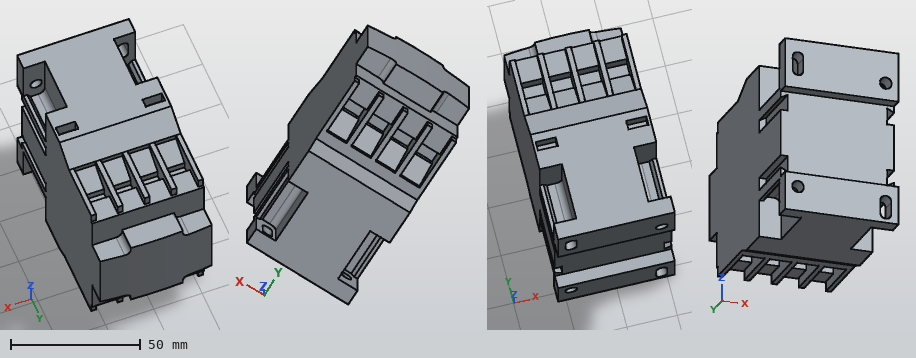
import cadquery as cq


width = 46.3
length = 87.5
top_z = 37.3
bottom_z = -33.8
half_width = width / 2

rail_gap_depth = 5.1
rail_gap_top_z = 17.2
rail_gap_bottom_z = -18.2
bevel_start_y = 44.1
upper_bevel_end_y = 54.0
lower_bevel_end_y = 49.3
terminal_half_height = 31.9
terminal_end_y = 77.1
front_y = 78.0
front_half_height = 27.9

cover_half_height = 17.2
cover_side_half_height = 13.5
cover_crown = 1.2
cover_neck_half_width = 10.8
cover_fillet = 2.5

flange_thickness = 6.65
recess_end_y = 29.6
recess_wall_x = 14.3
recess_fillet = 2.9
recess_floor_z = 16.9
lip_z = 18.8
lip_width = 1.6
lip_slope_width = 1.3

groove_depth = 2.9
groove_inner_z = 9.45
groove_outer_z = 14.5
groove_undercut_z = 16.1

hole_x = 17.9
round_hole_diameter = 4.7
round_hole_upper_z = 24.2
round_hole_lower_z = -23.8
slot_hole_width = 4.5
slot_hole_length = 9.5
slot_hole_z = 27.4

pocket_width = 8.0
pocket_length = 3.6
pocket_x = 17.9
pocket_y = 38.9
pocket_depth = 5.25

channel_count = 4
channel_pitch = 11.1
channel_width = 8.9
ramp_end_y = 62.9
well_end_y = 68.5
ramp_start_z = 29.7
ramp_end_z = 25.2
well_floor_z = 22.2


def extrude_along_y(outline, start_y, end_y):
    """Extrude a closed XZ outline, drawn on a plane facing -Y, from start_y to end_y."""
    return outline.extrude(start_y - end_y).translate((0, start_y, 0))


def four_corners(tool):
    """Tool at +X +Z together with its mirror images in X and Z."""
    pair = tool.union(tool.mirror("YZ"))
    return pair.union(pair.mirror("XY"))


def make_body():
    outline = [
        (0, top_z),
        (bevel_start_y, top_z),
        (upper_bevel_end_y, terminal_half_height),
        (terminal_end_y, terminal_half_height),
        (terminal_end_y, front_half_height),
        (front_y, front_half_height),
        (front_y, -front_half_height),
        (terminal_end_y, -front_half_height),
        (terminal_end_y, -terminal_half_height),
        (lower_bevel_end_y, -terminal_half_height),
        (bevel_start_y, bottom_z),
        (0, bottom_z),
        (0, rail_gap_bottom_z),
        (rail_gap_depth, rail_gap_bottom_z),
        (rail_gap_depth, rail_gap_top_z),
        (0, rail_gap_top_z),
    ]
    return cq.Workplane("YZ").polyline(outline).close().extrude(half_width, both=True)


def make_cover():
    """Front cover with a crowned face and filleted notches in its four corners."""
    side_y = length - cover_crown
    cover = (
        cq.Workplane("XY")
        .moveTo(-half_width, terminal_end_y)
        .lineTo(-half_width, side_y)
        .threePointArc((0, length), (half_width, side_y))
        .lineTo(half_width, terminal_end_y)
        .close()
        .extrude(cover_half_height, both=True)
    )
    notch = extrude_along_y(
        cq.Workplane("XZ")
        .moveTo(half_width, cover_side_half_height)
        .lineTo(cover_neck_half_width + cover_fillet, cover_side_half_height)
        .radiusArc((cover_neck_half_width, cover_side_half_height + cover_fillet), cover_fillet)
        .lineTo(cover_neck_half_width, cover_half_height)
        .lineTo(half_width, cover_half_height)
        .close(),
        front_y,
        length,
    )
    return cover.cut(four_corners(notch))


def make_corner_recess():
    """Recess with a filleted floor and a raised lip along its outer side."""
    lip_x = half_width - lip_width
    outline = (
        cq.Workplane("XZ")
        .moveTo(half_width, lip_z)
        .lineTo(lip_x, lip_z)
        .lineTo(lip_x - lip_slope_width, recess_floor_z)
        .lineTo(recess_wall_x + recess_fillet, recess_floor_z)
        .radiusArc((recess_wall_x, recess_floor_z + recess_fillet), recess_fillet)
        .lineTo(recess_wall_x, top_z)
        .lineTo(half_width, top_z)
        .close()
    )
    return extrude_along_y(outline, flange_thickness, recess_end_y)


def make_side_groove():
    """Groove whose side facing away from the middle is undercut."""
    groove_x = half_width - groove_depth
    outline = [
        (half_width, groove_inner_z),
        (groove_x, groove_inner_z),
        (groove_x, groove_undercut_z),
        (half_width, groove_outer_z),
    ]
    return extrude_along_y(
        cq.Workplane("XZ").polyline(outline).close(), rail_gap_depth, recess_end_y
    )


def make_mounting_holes():
    """A round hole and a slotted hole through each flange, at diagonal corners."""
    round_holes = cq.Workplane("XZ").pushPoints(
        [(hole_x, round_hole_upper_z), (-hole_x, round_hole_lower_z)]
    ).circle(round_hole_diameter / 2)
    slot_holes = cq.Workplane("XZ").pushPoints(
        [(-hole_x, slot_hole_z), (hole_x, -slot_hole_z)]
    ).slot2D(slot_hole_length, slot_hole_width, 90)
    return extrude_along_y(round_holes, 0, flange_thickness).union(
        extrude_along_y(slot_holes, 0, flange_thickness)
    )


def make_top_pockets():
    return (
        cq.Workplane("XY", origin=(0, 0, top_z))
        .pushPoints([(-pocket_x, pocket_y), (pocket_x, pocket_y)])
        .rect(pocket_width, pocket_length)
        .extrude(-pocket_depth)
    )


def make_terminal_channels():
    """Row of upper channels: a ramp, a deep well and a shelf level with the front step."""
    outline = [
        (upper_bevel_end_y, terminal_half_height),
        (upper_bevel_end_y, ramp_start_z),
        (ramp_end_y, ramp_end_z),
        (ramp_end_y, well_floor_z),
        (well_end_y, well_floor_z),
        (well_end_y, front_half_height),
        (terminal_end_y, front_half_height),
        (terminal_end_y, terminal_half_height),
    ]
    channel = cq.Workplane("YZ").polyline(outline).close().extrude(channel_width / 2, both=True)
    channels = cq.Workplane("XY")
    for index in range(channel_count):
        x = (index - (channel_count - 1) / 2) * channel_pitch
        channels = channels.add(channel.translate((x, 0, 0)))
    return channels.combine()


upper_channels = make_terminal_channels()

result = (
    make_body()
    .union(make_cover())
    .cut(four_corners(make_corner_recess()))
    .cut(four_corners(make_side_groove()))
    .cut(make_mounting_holes())
    .cut(make_top_pockets())
    .cut(upper_channels)
    .cut(upper_channels.mirror("XY"))
)